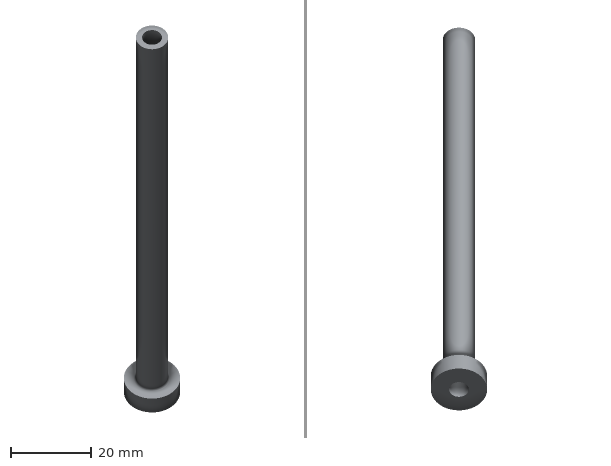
import cadquery as cq

total_length = 130.0
head_diameter = 14.0
head_thickness = 5.1
shaft_diameter = 8.0
bore_diameter = 5.0
neck_fillet_radius = 0.5

head_radius = head_diameter / 2
shaft_radius = shaft_diameter / 2
bore_radius = bore_diameter / 2

half_section = (
    cq.Workplane("XZ")
    .moveTo(bore_radius, 0)
    .lineTo(head_radius, 0)
    .lineTo(head_radius, head_thickness)
    .lineTo(shaft_radius + neck_fillet_radius, head_thickness)
    .radiusArc((shaft_radius, head_thickness + neck_fillet_radius), neck_fillet_radius)
    .lineTo(shaft_radius, total_length)
    .lineTo(bore_radius, total_length)
    .close()
)

result = half_section.revolve(360, (0, 0, 0), (0, 1, 0))